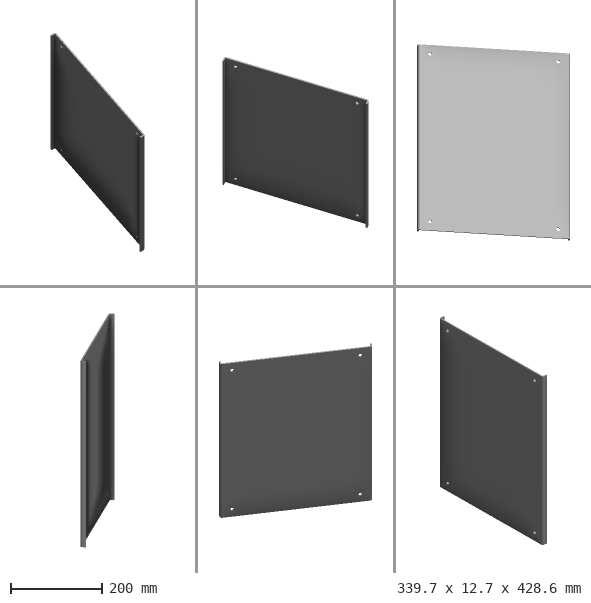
import cadquery as cq

width = 339.73
depth = 12.7
height = 428.62

thickness = 3.302
inner_bend_radius = 1.524
outer_bend_radius = inner_bend_radius + thickness

hole_diameter = 7.87
hole_spacing_x = 285.75
hole_spacing_z = 387.35

back_y = depth / 2


def folded_panel():
    """Flat panel with a flange bent forward along each vertical side."""
    panel = cq.Workplane("XY").box(width, depth, height)
    panel = panel.edges("|Z and >Y").fillet(outer_bend_radius)

    channel_width = width - 2 * thickness
    channel = (
        cq.Workplane("XY")
        .box(channel_width, depth, height)
        .edges("|Z and >Y")
        .fillet(inner_bend_radius)
        .translate((0, -thickness, 0))
    )
    return panel.cut(channel)


def mounting_holes():
    """Four through-hole cutters, one near each corner of the panel."""
    return (
        cq.Workplane("XZ", origin=(0, back_y, 0))
        .rect(hole_spacing_x, hole_spacing_z, forConstruction=True)
        .vertices()
        .circle(hole_diameter / 2)
        .extrude(thickness)
    )


result = folded_panel().cut(mounting_holes())